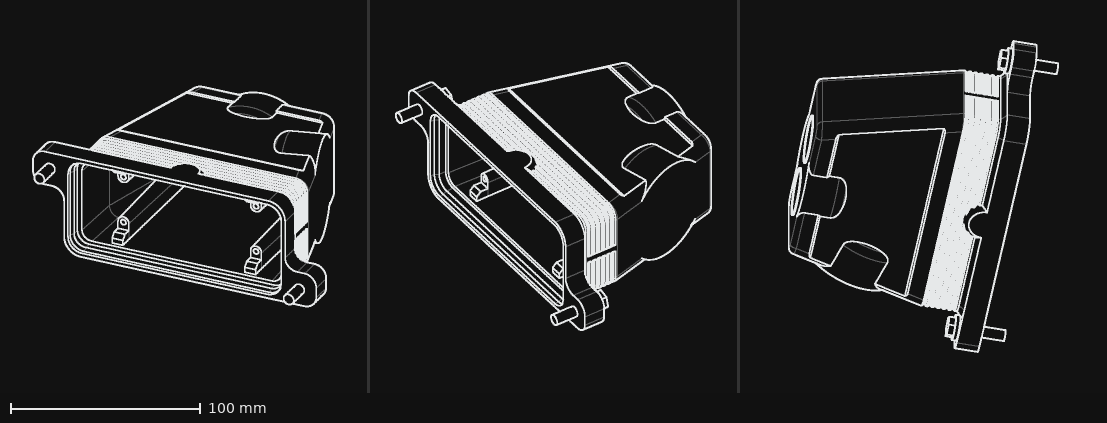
import cadquery as cq
import math


overlap = 1.7

flange_half_x = 64.5
half_z = 29.0
flange_depth = 12.2
flange_corner = 10.0
ear_half_x = 82.8
ear_width = 19.5
ear_corner = 7.0

hood_half_x = 61.2
hood_half_z = 26.3
hood_corner = 7.0
hood_end = 109.5
slope_start = 35.3
slope_angle = 15.0
end_fillet = 3.1
skirt_end = 15.2
slope = math.tan(math.radians(slope_angle))
hood_end_half_x = hood_half_x - (hood_end - slope_start) * slope

panel_depth = 0.41
panel_start = 43.2
panel_end = 99.0
panel_ramp = 1.2

groove_count = 6
groove_first = 17.7
groove_last = 33.0
groove_pitch = (groove_last - groove_first) / (groove_count - 1)
groove_mouth = 2.5
groove_floor = 0.8
groove_depth = 0.7
land_half_width = 2.2

boss_radius = half_z
boss_bevel = 6.6
boss_bevel_round = 7.0
end_boss_length = 26.5
side_boss_length = 29.0
side_boss_y = 75.0

pad_radius = 8.1

mouth_half_x = 62.2
mouth_half_z = 26.6
mouth_corner = 8.1
mouth_depth = 2.5
seat_inset = 1.3
seat_taper_end = 4.6
seat_depth = 8.8
cavity_half_x = 58.3
cavity_half_z = 23.2
cavity_corner = 5.6
bend_y = 38.9
bend_half_x = 56.8
cavity_end = 103.1
cavity_end_half_x = 40.0
cavity_end_half_z = 21.2

cable_hole_radius = 12.4
cable_hole_x = 16.9
rim_radius = 12.7
rim_height = 0.5

post_x = 38.7
post_center_z = 13.4
post_radius = 3.1
post_base_radius = 4.8
post_front = 18.5
post_root_z = 24.0
post_hole_radius = 1.5
post_hole_depth = 10.0
hook_front = 11.5
hook_top_z = 17.7
hook_chamfer = 2.5

screw_x = 72.8
screw_z = 19.5
shank_radius = 3.0
shank_length = 12.9
washer_radius = 6.8
washer_height = 2.2
hex_radius = 5.6
hex_height = 3.5
hex_turn = 46.0


def plane_at(y):
    """Section plane at depth y, with local x along X and local y along Z."""
    return cq.Workplane("XZ", origin=(0, y, 0))


def rounded_box(y0, y1, half_x, half_height, corner):
    box = plane_at(y0).rect(2 * half_x, 2 * half_height).extrude(y0 - y1)
    return box.edges("|Y").fillet(corner)


def rounded_section(y, half_x, half_height, corner):
    return rounded_box(y, y + overlap, half_x, half_height, corner).faces("<Y").wires().val()


def tapered_box(*sections):
    """Straight-sided transition through (y, half x, half z, corner) sections."""
    wires = [rounded_section(*section) for section in sections]
    return cq.Workplane(cq.Solid.makeLoft(wires, True))


def disc(x, z, y0, y1, radius):
    return plane_at(y0).center(x, z).circle(radius).extrude(y0 - y1)


def make_flange():
    flange = rounded_box(0, flange_depth, flange_half_x, half_z, flange_corner)
    ear_inner_z = half_z - ear_width
    ear = (
        plane_at(0)
        .moveTo(0, half_z)
        .lineTo(-ear_half_x + ear_corner, half_z)
        .radiusArc((-ear_half_x, half_z - ear_corner), -ear_corner)
        .lineTo(-ear_half_x, ear_inner_z + ear_corner)
        .radiusArc((-ear_half_x + ear_corner, ear_inner_z), -ear_corner)
        .lineTo(-flange_half_x - ear_corner, ear_inner_z)
        .radiusArc((-flange_half_x, ear_inner_z - ear_corner), ear_corner)
        .lineTo(0, ear_inner_z - ear_corner)
        .close()
        .extrude(-flange_depth)
    )
    return flange.union(ear).union(ear.rotate((0, 0, 0), (0, 1, 0), 180))


def make_hood():
    hood = (
        cq.Workplane("XY")
        .polyline([
            (-hood_half_x, 0),
            (hood_half_x, 0),
            (hood_half_x, slope_start),
            (hood_end_half_x, hood_end),
            (-hood_end_half_x, hood_end),
            (-hood_half_x, slope_start),
        ])
        .close()
        .extrude(hood_half_z, both=True)
    )
    hood = hood.edges("not #Y").fillet(hood_corner)
    return hood.faces(">Y").edges().fillet(end_fillet)


def make_panel_cutter():
    floor_z = hood_half_z - panel_depth
    return (
        cq.Workplane("YZ")
        .polyline([
            (panel_start, hood_half_z),
            (panel_start + panel_ramp, floor_z),
            (panel_end - panel_ramp, floor_z),
            (panel_end, hood_half_z),
        ])
        .close()
        .extrude(hood_half_x, both=True)
    )


def make_groove_cutter(y):
    """Trapezoidal ring groove around the hood, interrupted by a land on each narrow side."""
    outer = plane_at(y - groove_mouth / 2).rect(3 * hood_half_x, 3 * half_z).extrude(-groove_mouth)
    waist = (hood_half_x - groove_depth, hood_half_z - groove_depth, hood_corner - groove_depth)
    crest = (hood_half_x, hood_half_z, hood_corner)
    core = tapered_box(
        (y - groove_mouth / 2, *crest),
        (y - groove_floor / 2, *waist),
        (y + groove_floor / 2, *waist),
        (y + groove_mouth / 2, *crest),
    )
    land = cq.Workplane("XY").box(4 * hood_half_x, 4 * hood_end, 2 * land_half_width)
    return outer.cut(core).cut(land)


def make_boss(length):
    """Cable boss along Y, with its mouth at the origin and a rounded bevel on the inner end."""
    boss = disc(0, 0, -length, 0, boss_radius).faces("<Y").edges().chamfer(boss_bevel)
    bevel_start = boss.edges("%CIRCLE and (not <Y) and (not >Y)")
    return bevel_start.fillet(boss_bevel_round)


def make_cavity():
    """Cavity with drafted walls, following the sloping narrow sides of the hood."""
    outline = (
        cq.Workplane("XY")
        .polyline([
            (-cavity_half_x, seat_depth),
            (cavity_half_x, seat_depth),
            (bend_half_x, bend_y),
            (cavity_end_half_x, cavity_end),
            (-cavity_end_half_x, cavity_end),
            (-bend_half_x, bend_y),
        ])
        .close()
        .extrude(cavity_half_z, both=True)
    )
    wedge = (
        cq.Workplane("YZ")
        .polyline([
            (seat_depth, -cavity_half_z),
            (cavity_end, -cavity_end_half_z),
            (cavity_end, cavity_end_half_z),
            (seat_depth, cavity_half_z),
        ])
        .close()
        .extrude(cavity_half_x, both=True)
    )
    cavity = outline.intersect(wedge)
    return cavity.edges("not #Y").fillet(cavity_corner)


def make_locking_pad():
    """Half cone on the +Z side, flaring at 45 degrees from the flange face down into the hood wall."""
    root_z = hood_half_z - overlap
    root_radius = pad_radius + half_z - root_z
    base_point = cq.Vector(0, flange_depth, root_z)
    cone = cq.Solid.makeCone(root_radius, pad_radius, half_z - root_z, base_point, cq.Vector(0, 0, 1))
    flange_side = cq.Workplane("XY").box(2 * flange_half_x, 2 * flange_depth, 2 * half_z)
    return cq.Workplane(cone).cut(flange_side)


def post_section(y, radius):
    return (
        plane_at(y)
        .moveTo(-radius, post_root_z)
        .lineTo(-radius, post_center_z)
        .threePointArc((0, post_center_z - radius), (radius, post_center_z))
        .lineTo(radius, post_root_z)
        .close()
        .val()
    )


def make_post():
    """Insert post under the +Z wall at x = 0, flaring towards the cable end, with a front hook."""
    sections = [post_section(post_front, post_radius), post_section(cavity_end, post_base_radius)]
    post = cq.Workplane(cq.Solid.makeLoft(sections, True))
    hook = (
        cq.Workplane("YZ")
        .polyline([
            (post_front, hook_top_z),
            (hook_front + hook_chamfer, hook_top_z),
            (hook_front, hook_top_z + hook_chamfer),
            (hook_front, post_root_z),
            (post_front, post_root_z),
        ])
        .close()
        .extrude(post_radius, both=True)
    )
    hole = disc(0, post_center_z, post_front, post_front + post_hole_depth, post_hole_radius)
    return post.union(hook).cut(hole)


def make_screw(x, z):
    washer_end = flange_depth + washer_height
    head_end = washer_end + hex_height
    screw = disc(x, z, -shank_length, 0, shank_radius)
    screw = screw.union(disc(x, z, flange_depth, washer_end, washer_radius))
    head = plane_at(washer_end).polygon(6, 2 * hex_radius).extrude(washer_end - head_end)
    head = head.rotate((0, 0, 0), (0, 1, 0), -hex_turn).translate((x, 0, z))
    return screw.union(head)


shell = make_hood()
panel_cutter = make_panel_cutter()
shell = shell.cut(panel_cutter).cut(panel_cutter.mirror("XY"))
for index in range(groove_count):
    shell = shell.cut(make_groove_cutter(groove_first + index * groove_pitch))

end_boss = make_boss(end_boss_length).translate((0, hood_end, 0))
side_boss_x = hood_half_x - (side_boss_y - slope_start) * slope
side_boss = make_boss(side_boss_length).rotate((0, 0, 0), (0, 0, 1), slope_angle - 90)
side_boss = side_boss.translate((side_boss_x, side_boss_y, 0))
shell = shell.union(end_boss).union(side_boss)

skirt = tapered_box(
    (flange_depth, flange_half_x, half_z, flange_corner),
    (skirt_end, hood_half_x, hood_half_z, hood_corner),
)
locking_pad = make_locking_pad()
shell = shell.union(make_flange()).union(skirt)
shell = shell.union(locking_pad).union(locking_pad.mirror("XY"))

seat_section = (mouth_half_x - seat_inset, mouth_half_z - seat_inset, mouth_corner - seat_inset)
seat = tapered_box(
    (0, mouth_half_x, mouth_half_z, mouth_corner),
    (mouth_depth, mouth_half_x, mouth_half_z, mouth_corner),
    (seat_taper_end, *seat_section),
    (seat_depth, *seat_section),
)
cavity = make_cavity()

post = make_post()
for x in (-post_x, post_x):
    placed_post = post.translate((x, 0, 0))
    cavity = cavity.cut(placed_post).cut(placed_post.mirror("XY"))
shell = shell.cut(seat).cut(cavity)

for x in (-cable_hole_x, cable_hole_x):
    shell = shell.union(disc(x, 0, hood_end - overlap, hood_end + rim_height, rim_radius))
for x in (-cable_hole_x, cable_hole_x):
    shell = shell.cut(disc(x, 0, bend_y, hood_end + overlap, cable_hole_radius))

for side in (-1, 1):
    shell = shell.union(make_screw(side * screw_x, -side * screw_z))

result = shell